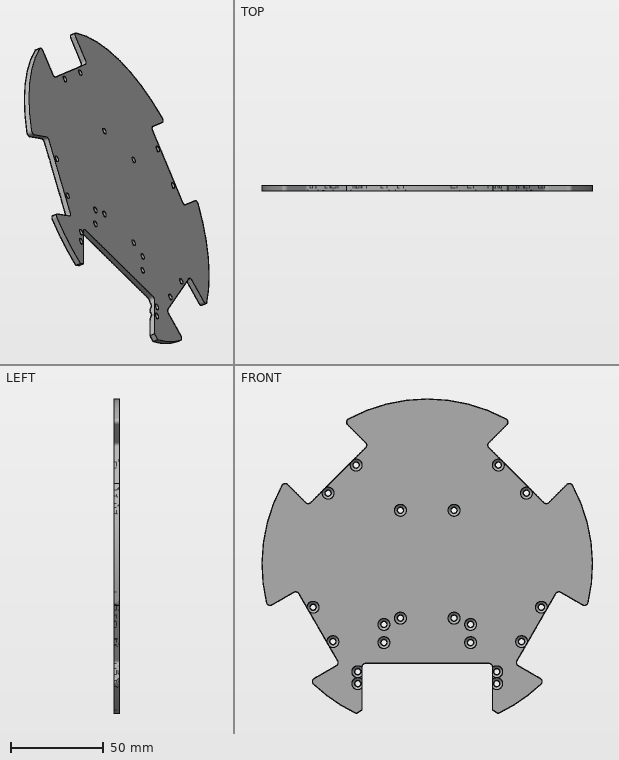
import cadquery as cq
import math

disc_radius = 89.4
thickness = 3.0

wheel_slot_angles = (45, 135, 210, 330)
wheel_slot_floor = 68.0
wheel_slot_width = 45.7
corner_radius = 2.0

bottom_slot_width = 70.4
bottom_slot_top_z = -53.6
bottom_tip_chamfer = 3.4

hole_diameter = 3.2
countersink_diameter = 6.5
countersink_angle = 90
countersink_step = (countersink_diameter - hole_diameter) / 2
countersink_depth = countersink_step / math.tan(math.radians(countersink_angle / 2))

motor_hole_distance = 65.0
motor_hole_spacing = 21.5

bracket_hole_x = 37.5
bracket_hole_z = (-58.0, -64.5)
center_hole_x = 14.5
center_hole_z = (29.1, -29.1)
lower_hole_x = 23.4
lower_hole_z = (-32.5, -42.4)

cut_length = 2 * disc_radius


def slot_box(floor_distance, width, angle):
    """Block whose inner face is the slot floor, running outward at the given angle."""
    block = cq.Workplane("XY").box(cut_length, 2 * thickness, width)
    block = block.translate((floor_distance + cut_length / 2, 0, 0))
    return block.rotate((0, 0, 0), (0, 1, 0), -angle)


def polar_point(radial, sideways, angle):
    """Point (x, z) given by distances along and across a radial direction."""
    a = math.radians(angle)
    x = radial * math.cos(a) - sideways * math.sin(a)
    z = radial * math.sin(a) + sideways * math.cos(a)
    return x, z


def corner_edges(body, points):
    """Edges through the thickness standing at the given (x, z) points."""
    edges = []
    for x, z in points:
        edges += body.edges("|Y").edges(cq.selectors.NearestToPointSelector((x, 0, z))).vals()
    return body.newObject(edges)


def rim_distance(half_width):
    """Radial distance at which a slot side meets the disc rim."""
    return math.sqrt(disc_radius**2 - half_width**2)


def make_plate():
    plate = cq.Workplane("XZ").circle(disc_radius).extrude(thickness / 2, both=True)
    for angle in wheel_slot_angles:
        plate = plate.cut(slot_box(wheel_slot_floor, wheel_slot_width, angle))
    return plate.cut(slot_box(-bottom_slot_top_z, bottom_slot_width, 270))


def finish_corners(plate):
    rounded = []
    for angle in wheel_slot_angles:
        for side in (-wheel_slot_width / 2, wheel_slot_width / 2):
            rounded.append(polar_point(wheel_slot_floor, side, angle))
            rounded.append(polar_point(rim_distance(side), side, angle))
    tips = []
    for side in (-bottom_slot_width / 2, bottom_slot_width / 2):
        rounded.append((side, bottom_slot_top_z))
        tips.append((side, -rim_distance(side)))
    plate = corner_edges(plate, rounded).fillet(corner_radius)
    return corner_edges(plate, tips).chamfer(bottom_tip_chamfer)


def hole_points():
    points = []
    for angle in wheel_slot_angles:
        for side in (-motor_hole_spacing / 2, motor_hole_spacing / 2):
            points.append(polar_point(motor_hole_distance, side, angle))
    mirrored_pairs = (
        (bracket_hole_x, bracket_hole_z),
        (center_hole_x, center_hole_z),
        (lower_hole_x, lower_hole_z),
    )
    for x, heights in mirrored_pairs:
        for z in heights:
            points += [(-x, z), (x, z)]
    return points


def drill_holes(plate):
    front_face = cq.Workplane("XZ", origin=(0, -thickness / 2, 0))
    for x, z in hole_points():
        bore = front_face.center(x, z).circle(hole_diameter / 2).extrude(-thickness)
        cone = cq.Solid.makeCone(
            countersink_diameter / 2,
            hole_diameter / 2,
            countersink_depth,
            pnt=cq.Vector(x, -thickness / 2, z),
            dir=cq.Vector(0, 1, 0),
        )
        plate = plate.cut(bore).cut(cq.Workplane(cone))
    return plate


result = drill_holes(finish_corners(make_plate()))